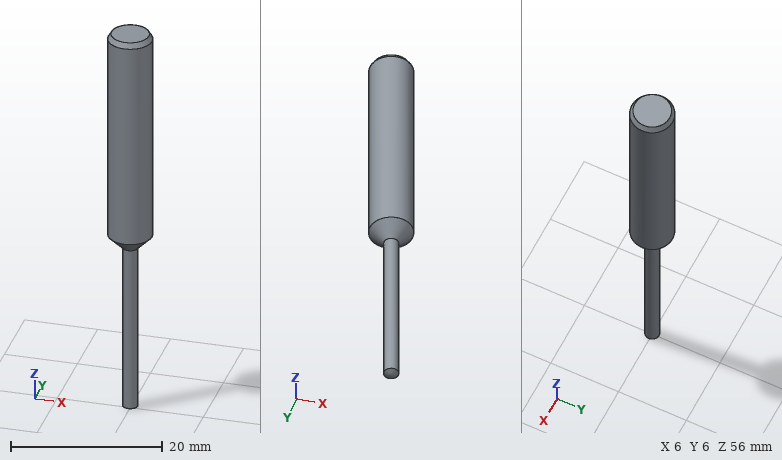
import cadquery as cq
import math

total_length = 56.0
shank_diameter = 6.0
drill_diameter = 2.0
drill_length = 24.0
point_angle = 140.0
chamfer_width = 0.45
chamfer_height = 0.7
neck_angle = 45.0

shank_radius = shank_diameter / 2
drill_radius = drill_diameter / 2
point_height = drill_radius / math.tan(math.radians(point_angle / 2))
neck_height = (shank_radius - drill_radius) / math.tan(math.radians(neck_angle))
neck_top = drill_length + neck_height


def revolve_profile(points):
    """Turn a closed (radius, height) profile around the Z axis."""
    profile = cq.Workplane("XZ").polyline(points).close()
    return profile.revolve(360, (0, 0), (0, 1))


def make_shank():
    """Cylindrical shank with a chamfered top and a cone down to the drill."""
    return revolve_profile([
        (0, drill_length),
        (drill_radius, drill_length),
        (shank_radius, neck_top),
        (shank_radius, total_length - chamfer_height),
        (shank_radius - chamfer_width, total_length),
        (0, total_length),
    ])


def make_drill():
    """Slender drill with a conical point, butting against the neck cone."""
    return revolve_profile([
        (0, 0),
        (drill_radius, point_height),
        (drill_radius, drill_length),
        (0, drill_length),
    ])


shank = make_shank()
drill = make_drill()

result = cq.Compound.makeCompound([shank.val(), drill.val()])